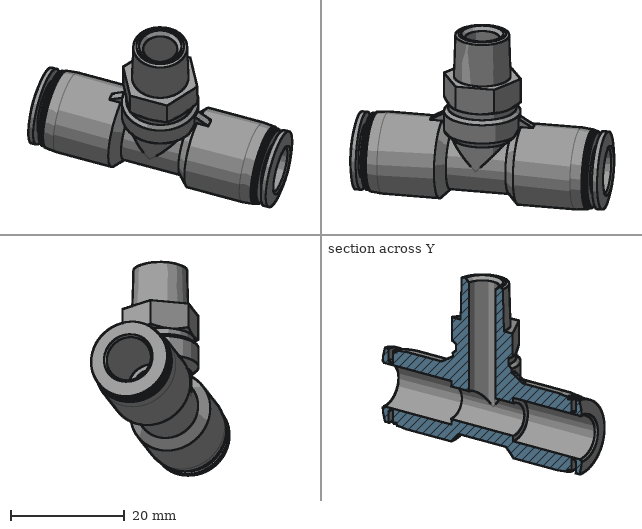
import cadquery as cq
import math


overall_length = 45.4
top_z = 24.0

body_dia = 14.5
neck_dia = 11.0
bore_dia = 6.0
body_inner_x = 7.1
body_taper_x = 17.35
body_end_x = 19.4
body_end_dia = 14.1

ring_end_x = 20.35
ring_dia = 13.7
ring_chamfer = 0.25
ring_groove_depth = 0.25
ring_groove_inner_x = 19.55
ring_groove_width = 0.3

tube_dia = 8.0
collar_dia = 13.8
collar_neck_dia = 8.8
collar_flange_inner_x = 21.25
collar_flange_outer_x = 22.17
collar_root_chamfer = 0.35
mouth_dia = 8.8
mouth_chamfer = (mouth_dia - tube_dia) / 2
dome_bulge = 0.08

shoulder_dia = 13.5
shoulder_bottom_z = 5.9
shoulder_top_z = 10.0
shoulder_cone_height = 0.65
stem_dia = 12.0
hex_flats = 12.0
hex_bottom_z = 11.1
hex_top_z = 16.0
hex_chamfer_angle = 30.0

thread_base_dia = 9.98
thread_taper = 1 / 16
thread_chamfer_height = 0.27
thread_top_dia = 8.35
countersink_dia = 7.45

rib_width = 1.5
rib_angle = 30.0
rib_reach_x = 9.25


def revolve_about_x(points):
    """Revolve a closed (x, radius) outline about the X axis."""
    outline = cq.Workplane("XY").polyline(points).close()
    return outline.revolve(360, (0, 0, 0), (1, 0, 0))


def revolve_about_z(points):
    """Revolve a closed (radius, z) outline about the Z axis."""
    outline = cq.Workplane("XZ").polyline(points).close()
    return outline.revolve(360, (0, 0, 0), (0, 1, 0))


def run_half_body():
    """Neck, cone, full-diameter sleeve and tapered end on the +X side."""
    neck_end_x = body_inner_x - (body_dia - neck_dia) / 2
    return revolve_about_x([
        (0, 0),
        (0, neck_dia / 2),
        (neck_end_x, neck_dia / 2),
        (body_inner_x, body_dia / 2),
        (body_taper_x, body_dia / 2),
        (body_end_x, body_end_dia / 2),
        (body_end_x, 0),
    ])


def retaining_ring():
    """Chamfered ring with one square groove, between the body end and the collar."""
    ring_r = ring_dia / 2
    groove_r = ring_r - ring_groove_depth
    groove_outer_x = ring_groove_inner_x + ring_groove_width
    return revolve_about_x([
        (body_end_x, 0),
        (body_end_x, ring_r),
        (ring_groove_inner_x, ring_r),
        (ring_groove_inner_x, groove_r),
        (groove_outer_x, groove_r),
        (groove_outer_x, ring_r),
        (ring_end_x - ring_chamfer, ring_r),
        (ring_end_x, ring_r - ring_chamfer),
        (ring_end_x, 0),
    ])


def release_collar():
    """Thin neck and domed flange at the +X end."""
    end_x = overall_length / 2
    neck_r = collar_neck_dia / 2
    flange_r = collar_dia / 2
    mouth_r = mouth_dia / 2
    dome_middle = (
        (collar_flange_outer_x + end_x) / 2 + dome_bulge,
        (flange_r + mouth_r) / 2 + dome_bulge,
    )
    outline = (
        cq.Workplane("XY")
        .moveTo(body_end_x, 0)
        .lineTo(body_end_x, neck_r)
        .lineTo(collar_flange_inner_x - collar_root_chamfer, neck_r)
        .lineTo(collar_flange_inner_x, neck_r + collar_root_chamfer)
        .lineTo(collar_flange_inner_x, flange_r)
        .lineTo(collar_flange_outer_x, flange_r)
        .threePointArc(dome_middle, (end_x, mouth_r))
        .lineTo(end_x, 0)
        .close()
    )
    return outline.revolve(360, (0, 0, 0), (1, 0, 0))


def tube_socket():
    """Cutter for the tube hole and its chamfered mouth on the +X side."""
    end_x = overall_length / 2
    return revolve_about_x([
        (body_inner_x, 0),
        (body_inner_x, tube_dia / 2),
        (end_x - mouth_chamfer, tube_dia / 2),
        (end_x, mouth_dia / 2),
        (end_x, 0),
    ])


def rib():
    """Sloped rib between the run sleeve and the branch shoulder on the +X side."""
    rise = rib_reach_x * math.tan(math.radians(rib_angle))
    foot_z = body_dia / 2
    profile = (
        cq.Workplane("XZ")
        .moveTo(0, 0)
        .lineTo(rib_reach_x, 0)
        .lineTo(rib_reach_x, foot_z)
        .lineTo(0, foot_z + rise)
        .close()
        .extrude(rib_width / 2, both=True)
    )
    limit = cq.Workplane("XY").circle(rib_reach_x).extrude(shoulder_top_z - shoulder_cone_height)
    return profile.intersect(limit)


def branch_body():
    """Neck, double-coned shoulder and stem up to the hexagon."""
    neck_r = neck_dia / 2
    shoulder_r = shoulder_dia / 2
    return revolve_about_z([
        (0, 0),
        (neck_r, 0),
        (neck_r, shoulder_bottom_z - (shoulder_r - neck_r)),
        (shoulder_r, shoulder_bottom_z),
        (shoulder_r, shoulder_top_z - shoulder_cone_height),
        (stem_dia / 2, shoulder_top_z),
        (stem_dia / 2, hex_bottom_z),
        (0, hex_bottom_z),
    ])


def hexagon():
    """Wrench hexagon, corners on X, with its lower corners chamfered."""
    corner_r = hex_flats / 2 / math.cos(math.radians(30))
    chamfer_height = (corner_r - hex_flats / 2) * math.tan(math.radians(hex_chamfer_angle))
    prism = (
        cq.Workplane("XY")
        .workplane(offset=hex_bottom_z)
        .polygon(6, 2 * corner_r)
        .extrude(hex_top_z - hex_bottom_z)
    )
    envelope = revolve_about_z([
        (0, hex_bottom_z),
        (hex_flats / 2, hex_bottom_z),
        (corner_r, hex_bottom_z + chamfer_height),
        (corner_r, hex_top_z),
        (0, hex_top_z),
    ])
    return prism.intersect(envelope)


def thread():
    """Tapered thread envelope with a chamfered tip."""
    taper_length = top_z - thread_chamfer_height - hex_top_z
    tip_dia = thread_base_dia - taper_length * thread_taper
    return revolve_about_z([
        (0, hex_top_z),
        (thread_base_dia / 2, hex_top_z),
        (tip_dia / 2, top_z - thread_chamfer_height),
        (thread_top_dia / 2, top_z),
        (0, top_z),
    ])


def branch_bore():
    """Cutter for the branch bore, from the run axis up to a 45 degree countersink."""
    countersink_depth = (countersink_dia - bore_dia) / 2
    return revolve_about_z([
        (0, 0),
        (bore_dia / 2, 0),
        (bore_dia / 2, top_z - countersink_depth),
        (countersink_dia / 2, top_z),
        (0, top_z),
    ])


def both_sides(half):
    """Join a +X side shape with its mirror image."""
    return half.union(half.mirror("YZ"))


run_half = run_half_body().union(retaining_ring()).union(release_collar()).union(rib())
part = both_sides(run_half)
part = part.union(branch_body()).union(hexagon()).union(thread())

run_bore = cq.Workplane("YZ").circle(bore_dia / 2).extrude(body_inner_x, both=True)
part = part.cut(both_sides(tube_socket()))
part = part.cut(run_bore.union(branch_bore()))

result = part